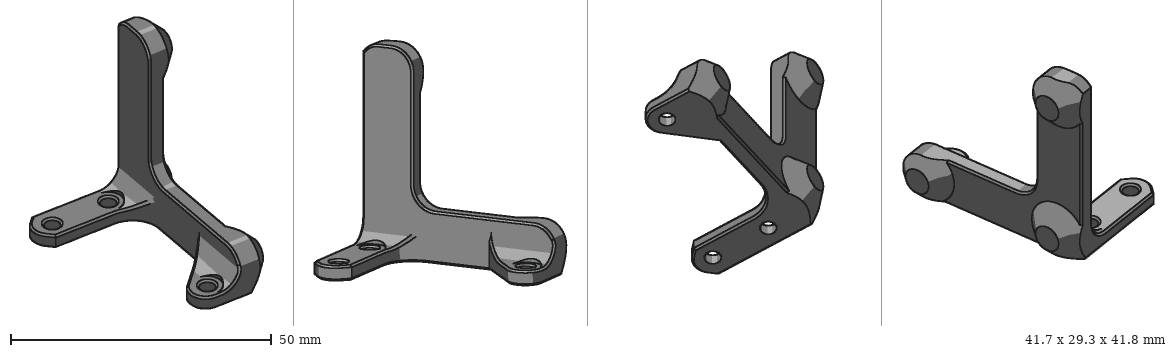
import cadquery as cq
import math


WIDTH = 41.7
HEIGHT = 41.81
POST_WIDTH = 10.95
BEAM_HEIGHT = 10.24
PLATE_THICKNESS = 3.5
CORNER_RADIUS = 4.8
POST_SHOULDER_RADIUS = 3.9
POST_SHOULDER_FLAT = 0.63

FOOT_THICKNESS = 3.0
FOOT_FILLET_RADIUS = 4.45
FOOT_TIP_RADIUS = 3.61
LONG_FOOT_WIDTH = 8.06
LONG_FOOT_REACH = 22.29
LONG_FOOT_BLEND_RADIUS = 6.0
SHORT_FOOT_REACH = 9.12

HOLE_DIAMETER = 3.2
SEAT_DIAMETER = 6.1
HOLE_X_LEFT = 4.28
HOLE_X_RIGHT = 37.92
HOLE_ROW_Y = -4.98
HOLE_PITCH = 13.0

BOSS_HEIGHT = 3.5
BOSS_TOP_RADIUS = 2.75
BOSS_X = 5.65
BOSS_Z = 5.44
BOSS_PITCH = 31.0

EDGE_CHAMFER = 0.43

BACK_Y = PLATE_THICKNESS
BOSS_TOP_Y = BACK_Y + BOSS_HEIGHT
DIAGONAL = math.sqrt(0.5)


def plate_prism(front_y, back_y):
    """L-shaped plate outline extruded from front_y to back_y."""
    r = CORNER_RADIUS
    shoulder = POST_SHOULDER_RADIUS
    flat = POST_SHOULDER_FLAT
    arc_drop = shoulder * (1 - DIAGONAL)
    arc_start_x = flat + shoulder * DIAGONAL
    mid = math.radians(45 / 2)
    arc_mid = (
        arc_start_x - shoulder * math.sin(mid),
        HEIGHT - shoulder * (1 - math.cos(mid)),
    )
    bulge = r * (1 - DIAGONAL)
    return (
        cq.Workplane("XZ", origin=(0, back_y, 0))
        .lineTo(WIDTH, 0)
        .lineTo(WIDTH, BEAM_HEIGHT - r)
        .threePointArc((WIDTH - bulge, BEAM_HEIGHT - bulge), (WIDTH - r, BEAM_HEIGHT))
        .lineTo(POST_WIDTH + r, BEAM_HEIGHT)
        .threePointArc((POST_WIDTH + bulge, BEAM_HEIGHT + bulge), (POST_WIDTH, BEAM_HEIGHT + r))
        .lineTo(POST_WIDTH, HEIGHT - r)
        .threePointArc((POST_WIDTH - bulge, HEIGHT - bulge), (POST_WIDTH - r, HEIGHT))
        .lineTo(arc_start_x, HEIGHT)
        .threePointArc(arc_mid, (flat, HEIGHT - arc_drop))
        .lineTo(0, HEIGHT - arc_drop - flat)
        .close()
        .extrude(back_y - front_y)
    )


def long_foot_plan():
    """Straight foot with a snub rounded tip and a concave blend into the plate."""
    r = FOOT_TIP_RADIUS
    centre_x = LONG_FOOT_WIDTH / 2
    centre_y = r - LONG_FOOT_REACH
    half_chord = r * DIAGONAL
    arc_y = centre_y - half_chord
    side_y = arc_y + centre_x - half_chord
    blend = LONG_FOOT_BLEND_RADIUS
    blend_bulge = blend * (1 - DIAGONAL)
    return (
        cq.Workplane("XY")
        .moveTo(0, BACK_Y)
        .lineTo(0, side_y)
        .lineTo(centre_x - half_chord, arc_y)
        .threePointArc((centre_x, -LONG_FOOT_REACH), (centre_x + half_chord, arc_y))
        .lineTo(LONG_FOOT_WIDTH, side_y)
        .lineTo(LONG_FOOT_WIDTH, -blend)
        .threePointArc(
            (LONG_FOOT_WIDTH + blend_bulge, -blend_bulge), (LONG_FOOT_WIDTH + blend, 0)
        )
        .lineTo(LONG_FOOT_WIDTH + blend, BACK_Y)
        .close()
        .extrude(HEIGHT)
    )


def short_foot_plan():
    """Triangular foot: a 45 degree flank runs into a round tip at the right side."""
    r = FOOT_TIP_RADIUS
    centre_x = WIDTH - r
    centre_y = r - SHORT_FOOT_REACH
    flank_x = centre_x - r * DIAGONAL
    flank_y = centre_y - r * DIAGONAL
    return (
        cq.Workplane("XY")
        .moveTo(WIDTH, BACK_Y)
        .lineTo(WIDTH, centre_y)
        .threePointArc((centre_x, -SHORT_FOOT_REACH), (flank_x, flank_y))
        .lineTo(flank_x + flank_y, 0)
        .lineTo(flank_x + flank_y, BACK_Y)
        .close()
        .extrude(HEIGHT)
    )


def foot_profile():
    """Foot thickness with the fillet rising to the plate, across the full width."""
    r = FOOT_FILLET_RADIUS
    bulge = r * (1 - DIAGONAL)
    return (
        cq.Workplane("YZ")
        .moveTo(BACK_Y, 0)
        .lineTo(-LONG_FOOT_REACH, 0)
        .lineTo(-LONG_FOOT_REACH, FOOT_THICKNESS)
        .lineTo(-r, FOOT_THICKNESS)
        .threePointArc((-bulge, FOOT_THICKNESS + bulge), (0, FOOT_THICKNESS + r))
        .lineTo(BACK_Y, FOOT_THICKNESS + r)
        .close()
        .extrude(WIDTH)
    )


def make_plate():
    """Upright plate with its front rim chamfered, except along the underside."""
    return plate_prism(0, BACK_Y).faces("<Y").edges("not <Z").chamfer(EDGE_CHAMFER)


def make_foot(plan):
    """Foot of the given plan, with the free rim of its upper surface chamfered."""
    foot = plan.intersect(foot_profile()).intersect(plate_prism(-LONG_FOOT_REACH, BACK_Y))
    return foot.edges("not(|X or |Y or |Z or <Z or >Y)").chamfer(EDGE_CHAMFER)


def make_bracket():
    """Plate and feet in one body, with the underside and the back rim chamfered."""
    bracket = make_plate().union(make_foot(long_foot_plan())).union(make_foot(short_foot_plan()))
    return bracket.faces("<Z or >Y").edges().chamfer(EDGE_CHAMFER)


def boss_cone(x, z, depth):
    """45 degree cone that widens from a boss's flat top toward the front."""
    return cq.Workplane(
        cq.Solid.makeCone(
            BOSS_TOP_RADIUS,
            BOSS_TOP_RADIUS + depth,
            depth,
            pnt=cq.Vector(x, BOSS_TOP_Y, z),
            dir=cq.Vector(0, -1, 0),
        )
    )


def trim_corner(body, x, z, x_side, z_side):
    """Bevel the plate corner beyond a boss so that it continues the boss's cone."""
    corner = (
        cq.Workplane("XZ", origin=(x, BOSS_TOP_Y, z))
        .rect(x_side * HEIGHT, z_side * HEIGHT, centered=False)
        .extrude(BOSS_TOP_Y)
    )
    return body.cut(corner.cut(boss_cone(x, z, BOSS_TOP_Y)))


def add_boss(body, x, z):
    """Conical standoff, cut off flush with the plate outline."""
    depth = BOSS_HEIGHT + EDGE_CHAMFER
    return body.union(boss_cone(x, z, depth).intersect(plate_prism(0, BOSS_TOP_Y)))


def cut_screw_hole(body, x, y):
    """Through hole with a chamfered mouth and a flat seat cleared out of the fillet."""
    radius = HOLE_DIAMETER / 2
    seat = (
        cq.Workplane("XY", origin=(x, y, FOOT_THICKNESS))
        .circle(SEAT_DIAMETER / 2)
        .extrude(FOOT_FILLET_RADIUS)
    )
    bore = cq.Workplane("XY", origin=(x, y, 0)).circle(radius).extrude(FOOT_THICKNESS)
    mouth = cq.Workplane(
        cq.Solid.makeCone(
            radius,
            radius + EDGE_CHAMFER,
            EDGE_CHAMFER,
            pnt=cq.Vector(x, y, FOOT_THICKNESS - EDGE_CHAMFER),
        )
    )
    return body.cut(seat).cut(bore).cut(mouth)


BOSSES = [
    (BOSS_X, BOSS_Z, -1, -1),
    (BOSS_X, BOSS_Z + BOSS_PITCH, -1, 1),
    (BOSS_X + BOSS_PITCH, BOSS_Z, 1, -1),
]
SCREW_HOLES = [
    (HOLE_X_LEFT, HOLE_ROW_Y),
    (HOLE_X_LEFT, HOLE_ROW_Y - HOLE_PITCH),
    (HOLE_X_RIGHT, HOLE_ROW_Y),
]

result = make_bracket()
for boss_x, boss_z, x_side, z_side in BOSSES:
    result = trim_corner(result, boss_x, boss_z, x_side, z_side)
    result = add_boss(result, boss_x, boss_z)
for hole_x, hole_y in SCREW_HOLES:
    result = cut_screw_hole(result, hole_x, hole_y)